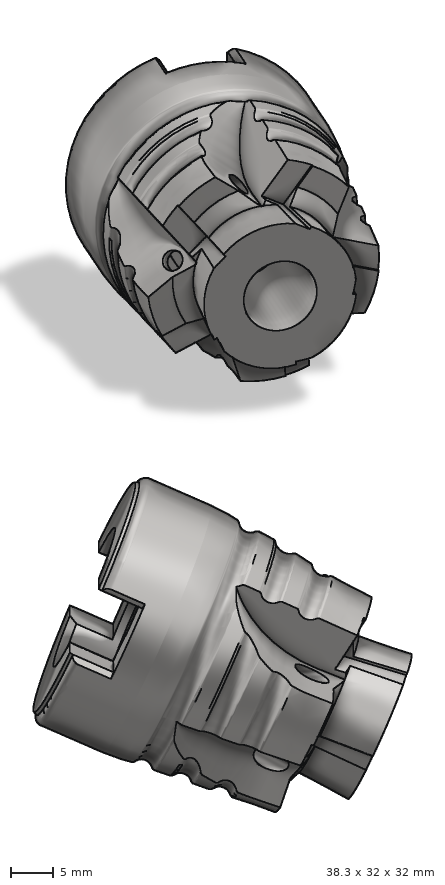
import cadquery as cq
import math

length = 38.32
body_radius = 32.0 / 2
overrun = 0.4
tool_reach = 23.0

face_radius = 14.85
face_bevel_depth = 0.42
face_bevel_radius = 15.1
rim_round_end = 1.55
cylinder_end = 9.4
taper_angle = 4.4
body_end = 31.0
body_end_radius = 14.3
dish_x = 30.65
dish_radius = 11.1
neck_start = 31.65
neck_start_radius = 8.85
neck_end_radius = 9.4

groove_radius = 1.45
groove_depth = 0.75
groove_first = 14.4
groove_pitch = 4.9
groove_count = 3
groove_edge_round = 0.45

bore_radius = 16.0 / 2
bore_chamfer = 1.0
relief_radius = 16.3 / 2
relief_start = 6.7
relief_ramp = 0.3
bore_depth = 20.3
seat_radius = 6.5
through_radius = 9.0 / 2

slot_half_width = 4.2
slot_depth = 5.67
slot_outer_chamfer = 0.73
slot_inner_chamfer_width = 0.3
slot_inner_chamfer_height = 1.23

flute_count = 5
flute_turn = 38.7
axial_rake = 4.2
wall_x = 24.52
wall_offset = -5.55
floor_height = 7.1
floor_sweep_radius = 16.48
floor_sweep_end = 28.05
floor_start = 12.65
floor_tilt = 4.4

gash_offset = 3.03
gash_start = 30.1
gash_start_height = 8.0
gash_lean = 6.0
gash_climb = 4.9
gash_floor_tilt = 5.0
gash_floor_y = -3.45
gash_outer_y = -7.65

coolant_diameter = 2.5
coolant_x = 27.48
coolant_offset = -1.72
coolant_angle = 31.5
coolant_length = 11.88


def on_taper(x, along, out):
    """Point reached from the taper at x by going along the taper and square out of it."""
    angle = math.radians(taper_angle)
    taper_radius = body_end_radius + (body_end - x) * math.tan(angle)
    return (
        x + along * math.cos(angle) + out * math.sin(angle),
        taper_radius - along * math.sin(angle) + out * math.cos(angle),
    )


shoulder_reach = groove_radius + groove_edge_round
shoulder_angle = math.acos((shoulder_reach - groove_depth) / shoulder_reach)
groove_half_width = shoulder_reach * math.sin(shoulder_angle)


def add_groove(profile, x):
    """Carry the outline from the start of one groove to its end."""
    def shoulder_point(side, angle):
        along = groove_half_width - groove_edge_round * math.sin(angle)
        return on_taper(x, side * along, groove_edge_round * (math.cos(angle) - 1))

    half_angle = shoulder_angle / 2
    return (
        profile.threePointArc(shoulder_point(-1, half_angle), shoulder_point(-1, shoulder_angle))
        .threePointArc(on_taper(x, 0, -groove_depth), shoulder_point(1, shoulder_angle))
        .threePointArc(shoulder_point(1, half_angle), on_taper(x, groove_half_width, 0))
    )


def turned_outside():
    round_depth = rim_round_end - face_bevel_depth
    round_rise = body_radius - face_bevel_radius
    diagonal = math.sqrt(0.5)
    rim_mid = (
        rim_round_end - round_depth * diagonal,
        body_radius - round_rise * (1 - diagonal),
    )
    groove_starts = [
        on_taper(groove_first + i * groove_pitch, -groove_half_width, 0) for i in range(groove_count)
    ]
    crown_end, crown_radius = groove_starts[0]
    crown_mid = (
        (cylinder_end + crown_end) / 2,
        body_radius - (body_radius - crown_radius) / 4,
    )
    profile = (
        cq.Workplane("XY")
        .moveTo(0, 0)
        .lineTo(0, face_radius)
        .lineTo(face_bevel_depth, face_bevel_radius)
        .threePointArc(rim_mid, (rim_round_end, body_radius))
        .lineTo(cylinder_end, body_radius)
        .threePointArc(crown_mid, groove_starts[0])
    )
    profile = add_groove(profile, groove_first)
    for i in range(1, groove_count):
        profile = add_groove(profile.lineTo(*groove_starts[i]), groove_first + i * groove_pitch)
    return (
        profile.lineTo(body_end, body_end_radius)
        .lineTo(dish_x, dish_radius)
        .lineTo(neck_start, neck_start_radius)
        .lineTo(length, neck_end_radius)
        .lineTo(length, 0)
        .close()
        .revolve(360, (0, 0, 0), (1, 0, 0))
    )


def bore_cutter():
    return (
        cq.Workplane("XY")
        .moveTo(0, 0)
        .lineTo(0, bore_radius + bore_chamfer)
        .lineTo(bore_chamfer, bore_radius)
        .lineTo(relief_start, bore_radius)
        .lineTo(relief_start + relief_ramp, relief_radius)
        .lineTo(bore_depth, relief_radius)
        .lineTo(bore_depth, seat_radius)
        .lineTo(bore_depth + seat_radius - through_radius, through_radius)
        .lineTo(length, through_radius)
        .lineTo(length, 0)
        .close()
        .revolve(360, (0, 0, 0), (1, 0, 0))
    )


def slot_cutter():
    chamfer_outer_y = slot_half_width + slot_outer_chamfer
    chamfer_outer_z = math.sqrt(body_radius**2 - chamfer_outer_y**2)
    chamfer_inner_y = slot_half_width + slot_inner_chamfer_width
    chamfer_inner_z = math.sqrt(bore_radius**2 - chamfer_inner_y**2)
    half_slot = [
        (chamfer_inner_y, chamfer_inner_z),
        (slot_half_width, chamfer_inner_z + slot_inner_chamfer_height),
        (slot_half_width, chamfer_outer_z - slot_outer_chamfer),
        (chamfer_outer_y, chamfer_outer_z),
        (chamfer_outer_y, tool_reach),
    ]
    upper = half_slot + [(-y, z) for y, z in reversed(half_slot)]
    lower = [(-y, -z) for y, z in upper]
    return cq.Workplane("YZ").polyline(upper + lower).close().extrude(slot_depth)


def wall_y(x):
    return wall_offset + (x - wall_x) * math.tan(math.radians(axial_rake))


def beyond_wall(step, outer_y):
    """Everything from a wall set back by step from the rake wall out to outer_y."""
    end = length + overrun
    return (
        cq.Workplane("XY")
        .moveTo(0, wall_y(0) + step)
        .lineTo(end, wall_y(end) + step)
        .lineTo(end, outer_y)
        .lineTo(0, outer_y)
        .close()
        .extrude(tool_reach)
    )


def tilt_floor(shape, y, z, angle):
    """Turn a shape about the line through (y, z) parallel to X."""
    return shape.rotate((0, y, z), (1, y, z), angle)


def flute_cutter():
    def sweep_height(x):
        rise = math.sqrt(floor_sweep_radius**2 - (floor_sweep_end - x) ** 2)
        return floor_height + floor_sweep_radius - rise

    sweep_mid = (floor_start + floor_sweep_end) / 2
    space = (
        cq.Workplane("XZ")
        .moveTo(floor_start, sweep_height(floor_start))
        .threePointArc((sweep_mid, sweep_height(sweep_mid)), (floor_sweep_end, floor_height))
        .lineTo(neck_start, floor_height)
        .lineTo(neck_start, tool_reach)
        .lineTo(floor_start, tool_reach)
        .close()
        .extrude(tool_reach, both=True)
    )
    tilted = tilt_floor(space, wall_offset, floor_height, -floor_tilt)
    return tilted.intersect(beyond_wall(0, -tool_reach))


def gash_cutter():
    end = length + overrun
    end_height = gash_start_height + (end - gash_start) * math.tan(math.radians(gash_climb))
    lean = (tool_reach - gash_start_height) * math.tan(math.radians(gash_lean))
    space = (
        cq.Workplane("XZ")
        .moveTo(gash_start, gash_start_height)
        .lineTo(end, end_height)
        .lineTo(end, tool_reach)
        .lineTo(gash_start + lean, tool_reach)
        .close()
        .extrude(tool_reach, both=True)
    )
    tilted = tilt_floor(space, gash_floor_y, gash_start_height, gash_floor_tilt)
    return tilted.intersect(beyond_wall(gash_offset, gash_outer_y))


def coolant_cutter():
    angle = math.radians(coolant_angle)
    inward = cq.Vector(-math.cos(angle), 0, -math.sin(angle))
    mouth = cq.Vector(coolant_x, wall_offset + coolant_offset, floor_height)
    outer_end = mouth - inward * coolant_diameter
    hole = cq.Solid.makeCylinder(
        coolant_diameter / 2, coolant_length + coolant_diameter, outer_end, inward)
    return tilt_floor(cq.Workplane(obj=hole), wall_offset, floor_height, -floor_tilt)


result = turned_outside().cut(bore_cutter()).cut(slot_cutter())

for tool in (flute_cutter(), gash_cutter(), coolant_cutter()):
    for i in range(flute_count):
        turn = flute_turn + i * 360 / flute_count
        result = result.cut(tool.rotate((0, 0, 0), (1, 0, 0), turn))